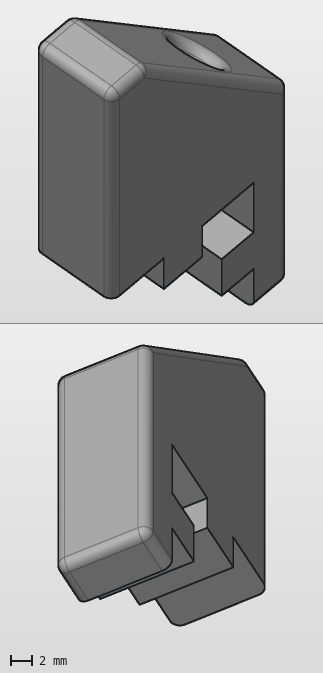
import cadquery as cq
import math

width = 10.0
depth = 25.0
height = 48.5
half_width = width / 2

leg_thickness = 5.0
arm_underside = 18.5
slope_run = 20.0
slope_angle = 45.0
slope_foot = height - slope_run * math.tan(math.radians(slope_angle))

tongue_width = 5.4
tongue_length = 4.5
tongue_gap = 7.28

edge_radius = 1.05

box_margin = 0.5

hole_diameter = 5.4
hole_depth = 10.0
hole_setback = 7.5
mouth_radius = 1.05

back = depth / 2
front = -depth / 2
leg_inside = back - leg_thickness


def side_body():
    """Side outline without tongues, extruded over the full width."""
    outline = [
        (back, 0),
        (back, slope_foot),
        (back - slope_run, height),
        (front, height),
        (front, arm_underside),
        (leg_inside, arm_underside),
        (leg_inside, 0),
    ]
    return cq.Workplane("YZ").polyline(outline).close().extrude(half_width, both=True)


def round_outer_edges(body):
    """Round every edge except those bounding the two inside faces of the L."""
    inside_edges = cq.selectors.BoxSelector(
        (-width, front - box_margin, -box_margin),
        (width, leg_inside + box_margin, arm_underside + box_margin),
    )
    return body.edges(cq.selectors.InverseSelector(inside_edges)).fillet(edge_radius)


def add_tongues(body):
    """Add the two full-width tongues that point into the inside of the L."""
    arm_tongue = cq.Workplane("XY").box(width, tongue_width, tongue_length, centered=(True, False, False))
    arm_tongue = arm_tongue.translate(
        (0, leg_inside - tongue_gap - tongue_width, arm_underside - tongue_length)
    )
    leg_tongue = cq.Workplane("XY").box(width, tongue_length, tongue_width, centered=(True, False, False))
    leg_tongue = leg_tongue.translate(
        (0, leg_inside - tongue_length, arm_underside - tongue_gap - tongue_width)
    )
    return body.union(arm_tongue).union(leg_tongue)


def hole_cutter():
    """Revolved cutter: a straight hole flaring through a quarter round at its mouth."""
    radius = hole_diameter / 2
    mouth = radius + mouth_radius
    arc_offset = mouth_radius * math.cos(math.pi / 4)
    profile = (
        cq.Workplane("XY")
        .moveTo(0, 0)
        .lineTo(mouth, 0)
        .threePointArc((mouth - arc_offset, arc_offset - mouth_radius), (radius, -mouth_radius))
        .lineTo(radius, -hole_depth)
        .lineTo(0, -hole_depth)
        .close()
    )
    cutter = profile.revolve(360, (0, 0, 0), (0, 1, 0))
    hole_height = slope_foot + hole_setback * math.tan(math.radians(slope_angle))
    tilted = cutter.rotate((0, 0, 0), (1, 0, 0), slope_angle)
    return tilted.translate((0, back - hole_setback, hole_height))


result = add_tongues(round_outer_edges(side_body())).cut(hole_cutter())